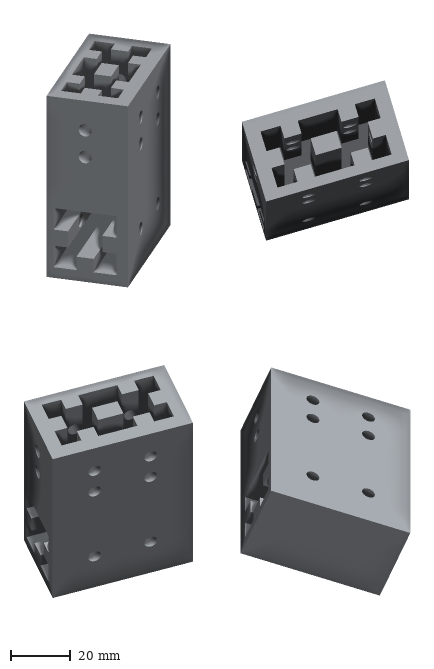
import cadquery as cq

width = 28.5
depth = 50.0
height = 67.5
bore_axis_offset = 13.5

rib_width = 6.0

profile_pitch = 20.0
top_rib_reach = 4.5
socket_floor = 4.0

channel_size = 22.0
channel_bottom = 4.0
channel_rib_reach = 5.0

screw_diameter = 4.6
screw_pitch = 10.0
upper_screw_z = 56.5
channel_center_z = channel_bottom + channel_size / 2
lower_screw_z = channel_center_z

socket_depth = height - (channel_bottom + channel_size) - socket_floor


def box(x_size, y_size, z_size, x, y, z):
    """Box centred on x and y, standing on z."""
    return (
        cq.Workplane("XY")
        .box(x_size, y_size, z_size, centered=(True, True, False))
        .translate((x, y, z))
    )


def top_socket():
    """Void of the top socket, with the side ribs, end ribs and centre block left solid."""
    bottom = height - socket_depth
    socket_length = 2 * profile_pitch
    void = box(profile_pitch, socket_length, socket_depth, 0, 0, bottom)
    for side in (-1, 1):
        side_x = side * (profile_pitch - top_rib_reach) / 2
        end_y = side * (socket_length - top_rib_reach) / 2
        void = void.cut(box(rib_width, top_rib_reach, socket_depth, 0, end_y, bottom))
        for profile_y in (-profile_pitch / 2, profile_pitch / 2):
            void = void.cut(box(top_rib_reach, rib_width, socket_depth, side_x, profile_y, bottom))
    return void.cut(box(rib_width, 2 * top_rib_reach, socket_depth, 0, 0, bottom))


def bottom_channel():
    """Void of the through channel, with ribs on both sides and on its floor."""
    void = box(channel_size, depth, channel_size, 0, 0, channel_bottom)
    void = void.cut(box(rib_width, depth, channel_rib_reach, 0, 0, channel_bottom))
    rib_bottom = channel_center_z - rib_width / 2
    for side in (-1, 1):
        side_x = side * (channel_size - channel_rib_reach) / 2
        void = void.cut(box(channel_rib_reach, depth, rib_width, side_x, 0, rib_bottom))
    return void


def cylinder(start, direction, length):
    """Screw hole from a start point along a direction."""
    return cq.Workplane(
        cq.Solid.makeCylinder(screw_diameter / 2, length, cq.Vector(*start), cq.Vector(*direction))
    )


left_x = -bore_axis_offset
upper_rows = (upper_screw_z, upper_screw_z - screw_pitch)

result = box(width, depth, height, left_x + width / 2, 0, 0)
result = result.cut(top_socket()).cut(bottom_channel())

for screw_z in upper_rows + (lower_screw_z,):
    for screw_y in (-profile_pitch / 2, profile_pitch / 2):
        result = result.cut(cylinder((left_x, screw_y, screw_z), (1, 0, 0), width))

end_hole_length = depth / 2 - profile_pitch + top_rib_reach
for side in (-1, 1):
    for screw_z in upper_rows:
        result = result.cut(cylinder((0, side * depth / 2, screw_z), (0, -side, 0), end_hole_length))